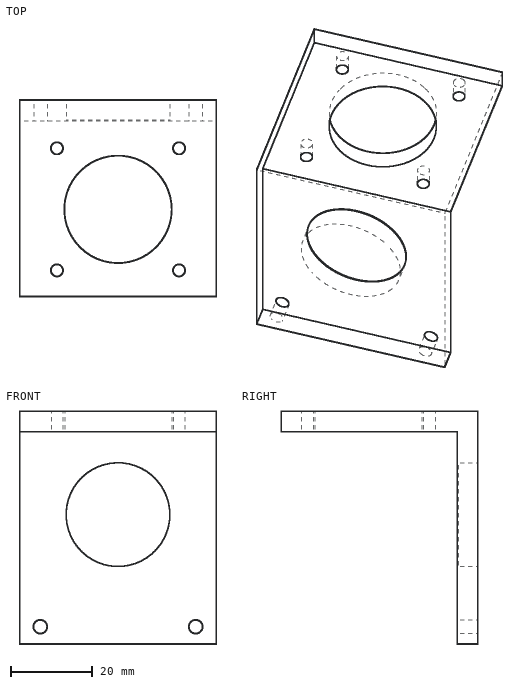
import cadquery as cq

width = 48.25
depth = 48.25
height = 57.15
thickness = 5.1

disc_diameter = 25.45
disc_drop = 25.4
disc_recess = 0.25

foot_hole_diameter = 3.3
foot_hole_spacing = 38.1
foot_hole_height = 4.3

opening_diameter = 26.3
opening_from_back = 26.85
screw_hole_diameter = 2.9
screw_hole_spacing = 29.95

disc_height = height - disc_drop
opening_y = depth - opening_from_back


def back_cylinder(diameter, length, x, z):
    """Cylinder that runs forward (-Y) from the back face of the upright plate."""
    return (
        cq.Workplane("XZ", origin=(x, depth, z))
        .circle(diameter / 2)
        .extrude(length)
    )


def make_bracket():
    """L-shaped bracket: upright plate at the back, flange along the top."""
    profile = [
        (0, height),
        (depth, height),
        (depth, 0),
        (depth - thickness, 0),
        (depth - thickness, height - thickness),
        (0, height - thickness),
    ]
    bracket = cq.Workplane("YZ").polyline(profile).close().extrude(width / 2, both=True)

    flange = cq.Workplane("XY", origin=(0, opening_y, height))
    opening = flange.circle(opening_diameter / 2).extrude(-thickness)
    screw_holes = (
        flange.rarray(screw_hole_spacing, screw_hole_spacing, 2, 2)
        .circle(screw_hole_diameter / 2)
        .extrude(-thickness)
    )
    bracket = bracket.cut(opening).cut(screw_holes)

    bracket = bracket.cut(back_cylinder(disc_diameter, thickness, 0, disc_height))
    for side in (-1, 1):
        hole_x = side * foot_hole_spacing / 2
        bracket = bracket.cut(back_cylinder(foot_hole_diameter, thickness, hole_x, foot_hole_height))
    return bracket


def make_disc():
    """Disc in its seat, flush at the back and recessed at the front."""
    return back_cylinder(disc_diameter, thickness - disc_recess, 0, disc_height)


bracket = make_bracket()
disc = make_disc()
result = cq.Compound.makeCompound([bracket.val(), disc.val()])